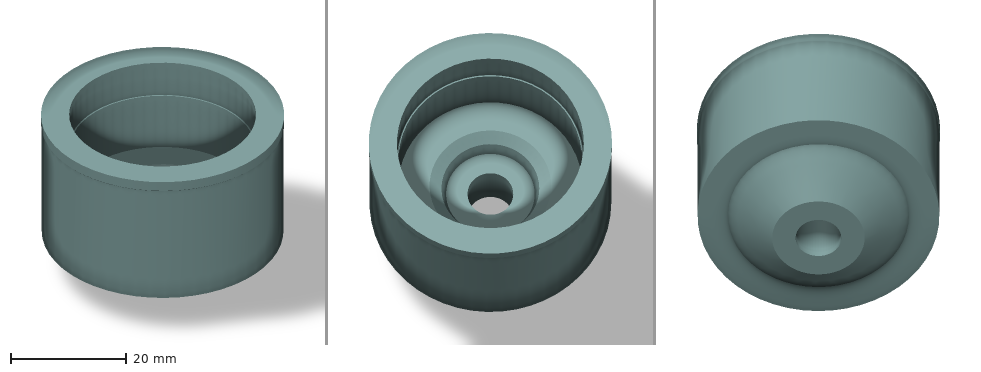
import cadquery as cq

total_height = 30.6
collar_radius = 21.15
collar_height = 1.8
collar_taper_height = 0.13
body_radius = 21.02
nose_height = 6.3
nose_top_radius = 15.75
nose_tip_radius = 8.05

bore_radius = 16.25
lower_bore_radius = 16.0
step_depth = 6.73
bore_depth = 17.43

funnel_top_radius = 10.58
funnel_middle_radius = 8.5
seat_radius = 7.7
hole_radius = 3.98
upper_taper_depth = 1.2
lower_taper_depth = 2.25

collar_bottom = total_height - collar_height
body_top = collar_bottom - collar_taper_height
step_level = total_height - step_depth
bore_floor = total_height - bore_depth
funnel_middle = bore_floor - upper_taper_depth
seat_level = funnel_middle - lower_taper_depth

half_section = [
    (hole_radius, 0),
    (nose_tip_radius, 0),
    (nose_top_radius, nose_height),
    (body_radius, nose_height),
    (body_radius, body_top),
    (collar_radius, collar_bottom),
    (collar_radius, total_height),
    (bore_radius, total_height),
    (bore_radius, step_level),
    (lower_bore_radius, step_level),
    (lower_bore_radius, bore_floor),
    (funnel_top_radius, bore_floor),
    (funnel_middle_radius, funnel_middle),
    (seat_radius, seat_level),
    (hole_radius, seat_level),
]

result = cq.Workplane("XZ").polyline(half_section).close().revolve(360, (0, 0, 0), (0, 1, 0))